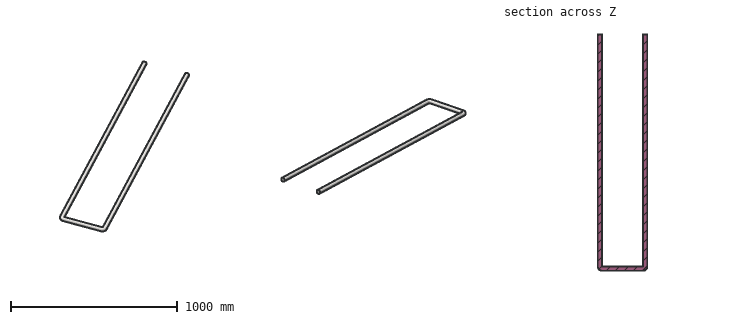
import cadquery as cq

overall_width = 300.0
overall_length = 1420.0
bar_diameter = 27.0

bar_radius = bar_diameter / 2
inner_bend_radius = 0.7
bend_radius = bar_radius + inner_bend_radius

leg_x = overall_width / 2 - bar_radius
leg_length = overall_length - bar_radius - bend_radius
crossbar_length = 2 * (leg_x - bend_radius)
bend_start_y = bar_radius + bend_radius


def leg(side):
    """Straight round leg along Y, on the left (-1) or right (+1)."""
    start = cq.Vector(side * leg_x, bend_start_y, 0)
    return cq.Solid.makeCylinder(bar_radius, leg_length, start, cq.Vector(0, 1, 0))


def bend(side):
    """Quarter-turn corner, revolved about a vertical axis beside the inner corner."""
    section = cq.Workplane("XZ", origin=(side * leg_x, bend_start_y, 0)).circle(bar_radius)
    pivot_x = -side * bend_radius
    return section.revolve(90, (pivot_x, 0, 0), (pivot_x, -side, 0)).val()


crossbar_start = cq.Vector(-crossbar_length / 2, bar_radius, 0)
crossbar = cq.Solid.makeCylinder(bar_radius, crossbar_length, crossbar_start, cq.Vector(1, 0, 0))

result = cq.Workplane(crossbar)
for side in (-1, 1):
    result = result.union(cq.Workplane(bend(side))).union(cq.Workplane(leg(side)))